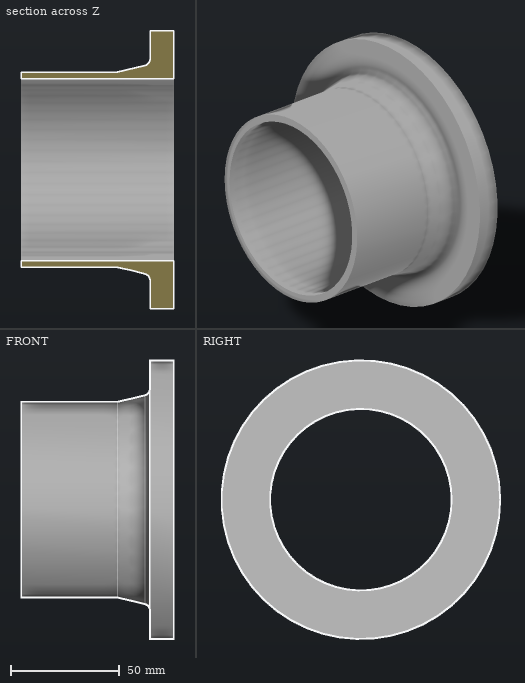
import cadquery as cq

total_length = 70.0
flange_diameter = 128.0
flange_thickness = 11.0

pipe_diameter = 90.0
bore_diameter = 83.2
pipe_length = 44.2
hub_end_diameter = 97.0
hub_fillet_radius = 3.0

flange_start = total_length - flange_thickness
pipe_radius = pipe_diameter / 2
bore_radius = bore_diameter / 2
hub_end_radius = hub_end_diameter / 2
flange_radius = flange_diameter / 2


def revolved_body():
    """Pipe, conical hub and flange revolved around the X axis."""
    profile = (
        cq.Workplane("XY")
        .moveTo(0, bore_radius)
        .lineTo(0, pipe_radius)
        .lineTo(pipe_length, pipe_radius)
        .lineTo(flange_start, hub_end_radius)
        .lineTo(flange_start, flange_radius)
        .lineTo(total_length, flange_radius)
        .lineTo(total_length, bore_radius)
        .close()
    )
    return profile.revolve(360, (0, 0, 0), (1, 0, 0))


def fillet_hub_root(body):
    """Round the inside corner where the hub meets the flange."""
    flange_back = body.faces("%PLANE").faces("<X[1]")
    hub_root = flange_back.edges(cq.selectors.RadiusNthSelector(0))
    return hub_root.fillet(hub_fillet_radius)


result = fillet_hub_root(revolved_body())